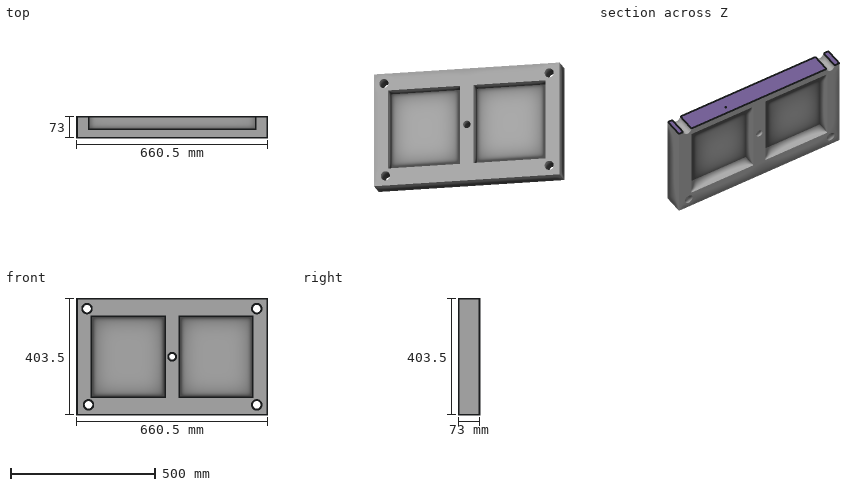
import cadquery as cq

length = 660.5
thickness = 73.0
height = 403.5

pocket_width = 255.0
pocket_height = 281.5
pocket_depth = 49.5
pocket_spacing = 304.5

center_hole_diameter = 26.5
corner_hole_diameter = 32.5
hole_edge_offset = 35.0
right_hole_edge_offset = 37.0
lower_left_hole_edge_offset = 40.0

notch_length = 578.5
notch_front_wall = 30.0
notch_depth = 18.0
notch_end_radius = 16.0


def front_sketch(points):
    """Locate points (X, Z) on the front face; negative extrusion goes into the plate."""
    return cq.Workplane("XZ").pushPoints(points)


def make_plate():
    return cq.Workplane("XY").box(length, thickness, height, centered=(True, False, True))


def make_pockets():
    centers = [(side * pocket_spacing / 2, 0) for side in (-1, 1)]
    return front_sketch(centers).rect(pocket_width, pocket_height).extrude(-pocket_depth)


def make_corner_holes():
    left = -length / 2
    right_x = length / 2 - right_hole_edge_offset
    hole_z = height / 2 - hole_edge_offset
    centers = [
        (left + hole_edge_offset, hole_z),
        (left + lower_left_hole_edge_offset, -hole_z),
        (right_x, hole_z),
        (right_x, -hole_z),
    ]
    return front_sketch(centers).circle(corner_hole_diameter / 2).extrude(-thickness)


def make_center_hole():
    return front_sketch([(0, 0)]).circle(center_hole_diameter / 2).extrude(-thickness)


def make_notch():
    return (
        cq.Workplane("XY")
        .box(notch_length, thickness - notch_front_wall, notch_depth, centered=(True, False, False))
        .edges("|Y and <Z")
        .fillet(notch_end_radius)
        .translate((0, notch_front_wall, height / 2 - notch_depth))
    )


result = (
    make_plate()
    .cut(make_pockets())
    .cut(make_corner_holes())
    .cut(make_center_hole())
    .cut(make_notch())
)